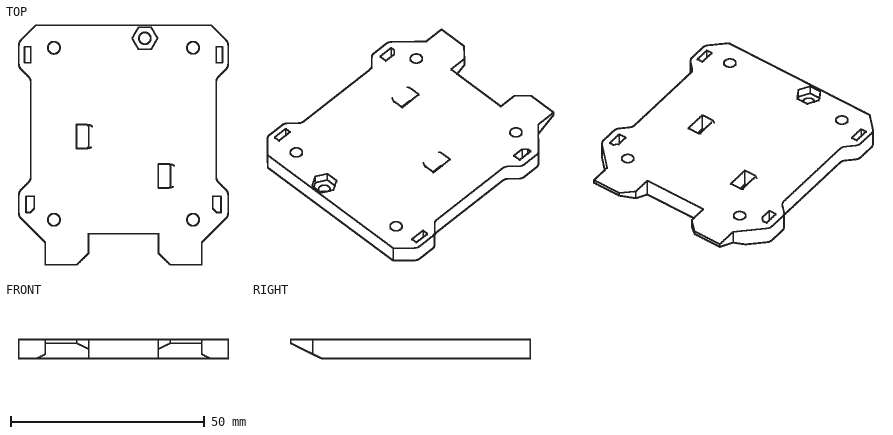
import cadquery as cq
import math

PLATE_THICKNESS = 5.0
PLATE_LENGTH = 54.0
OVERALL_WIDTH = 54.23
WAIST_WIDTH = 48.0
LUG_ROUNDING = 2.0

FRONT_LUG_START = 4.57
FRONT_LUG_END = 10.83
REAR_LUG_START = 43.15
REAR_LUG_END = 49.57

FOOT_LENGTH = 8.03
FOOT_OUTER_X = 20.25
FOOT_INNER_X = 9.0
FOOT_TIP_THICKNESS = 1.0
FOOT_CHAMFER_X = 3.1
FOOT_CHAMFER_Y = 3.0

MOUNT_HOLE_DIAMETER = 3.1
MOUNT_HOLE_X = 18.0
MOUNT_HOLE_Y = (3.65, 48.15)

SCREW_DIAMETER = 3.0
NUT_ACROSS_FLATS = 5.7
NUT_POCKET_DEPTH = 2.5
NUT_X = 5.52
NUT_Y = 50.6

SLOT_LENGTH = 4.1
REAR_SLOT_WIDTH = 1.6
REAR_SLOT_X = 24.8
REAR_SLOT_Y = 46.35
FRONT_SLOT_WIDTH = 2.1
FRONT_SLOT_X = 24.15
FRONT_SLOT_Y = 7.63
FRONT_SLOT_CHAMFER = 1.0

OPENING_WIDTH = 3.1
OPENING_LENGTH = 6.15
OPENING_EDGE_RADIUS = 1.0
OPENING_CORNER_RADIUS = 0.5
OPENING_CENTERS = ((-10.6, 25.17), (10.6, 15.0))

CLEARANCE = 1.0


def mirrored_outline(right_side):
    """Close an outline from its right half, listed from front to rear."""
    left_side = [(-x, y) for x, y in reversed(right_side)]
    return right_side + left_side


def make_plate():
    half_width = OVERALL_WIDTH / 2
    half_waist = WAIST_WIDTH / 2
    lug_step = half_width - half_waist
    waist_start = FRONT_LUG_END + lug_step
    waist_end = REAR_LUG_START - lug_step
    rear_corner_x = half_width - (PLATE_LENGTH - REAR_LUG_END)
    foot_shoulder_y = FRONT_LUG_START - (half_width - FOOT_OUTER_X)
    lug_corners = [
        (half_width, FRONT_LUG_START),
        (half_width, FRONT_LUG_END),
        (half_waist, waist_start),
        (half_waist, waist_end),
        (half_width, REAR_LUG_START),
        (half_width, REAR_LUG_END),
    ]
    right_side = [
        (FOOT_INNER_X, 0),
        (FOOT_INNER_X, FOOT_CHAMFER_Y - FOOT_LENGTH),
        (FOOT_INNER_X + FOOT_CHAMFER_X, -FOOT_LENGTH),
        (FOOT_OUTER_X, -FOOT_LENGTH),
        (FOOT_OUTER_X, foot_shoulder_y),
        *lug_corners,
        (rear_corner_x, PLATE_LENGTH),
    ]
    plate = cq.Workplane("XY").polyline(mirrored_outline(right_side)).close().extrude(PLATE_THICKNESS)
    for x, y in lug_corners:
        for side in (-1, 1):
            corner = cq.selectors.NearestToPointSelector((side * x, y, PLATE_THICKNESS / 2))
            plate = plate.edges("|Z").edges(corner).fillet(LUG_ROUNDING)
    return plate


def foot_taper():
    """Wedge below the feet, leaving them thin at the tip."""
    taper_height = PLATE_THICKNESS - FOOT_TIP_THICKNESS
    profile = [(0, 0), (-FOOT_LENGTH, taper_height), (-FOOT_LENGTH, 0)]
    return cq.Workplane("YZ").polyline(profile).close().extrude(OVERALL_WIDTH / 2, both=True)


def mount_holes():
    centers = [(side * MOUNT_HOLE_X, y) for side in (-1, 1) for y in MOUNT_HOLE_Y]
    return cq.Workplane("XY").pushPoints(centers).circle(MOUNT_HOLE_DIAMETER / 2).extrude(PLATE_THICKNESS)


def nut_pocket():
    across_corners = NUT_ACROSS_FLATS / math.cos(math.pi / 6)
    screw = cq.Workplane("XY").center(NUT_X, NUT_Y).circle(SCREW_DIAMETER / 2).extrude(PLATE_THICKNESS)
    pocket = (
        cq.Workplane("XY", origin=(NUT_X, NUT_Y, PLATE_THICKNESS - NUT_POCKET_DEPTH))
        .polygon(6, across_corners)
        .extrude(NUT_POCKET_DEPTH)
    )
    return screw.union(pocket)


def rear_slots():
    centers = [(side * REAR_SLOT_X, REAR_SLOT_Y) for side in (-1, 1)]
    return cq.Workplane("XY").pushPoints(centers).rect(REAR_SLOT_WIDTH, SLOT_LENGTH).extrude(PLATE_THICKNESS)


def front_slots():
    """Slots whose inner front corner is chamfered."""
    right_slot = (
        cq.Workplane("XY")
        .center(FRONT_SLOT_X, FRONT_SLOT_Y)
        .rect(FRONT_SLOT_WIDTH, SLOT_LENGTH)
        .extrude(PLATE_THICKNESS)
        .edges("|Z and <X and <Y")
        .chamfer(FRONT_SLOT_CHAMFER)
    )
    return right_slot.union(right_slot.mirror("YZ"))


def cable_opening(center_x, center_y):
    """Through opening; its +X wall rolls over into the top face, and its +X corners are rounded."""
    wall_x = OPENING_WIDTH / 2
    half_length = OPENING_LENGTH / 2
    radius = OPENING_EDGE_RADIUS
    arc_start_z = PLATE_THICKNESS - radius
    rim_x = wall_x + radius
    arc_middle = (rim_x - radius * math.cos(math.pi / 4), arc_start_z + radius * math.sin(math.pi / 4))
    body = (
        cq.Workplane("XZ")
        .moveTo(-wall_x, -CLEARANCE)
        .lineTo(wall_x, -CLEARANCE)
        .lineTo(wall_x, arc_start_z)
        .threePointArc(arc_middle, (rim_x, PLATE_THICKNESS))
        .lineTo(rim_x + CLEARANCE, PLATE_THICKNESS)
        .lineTo(rim_x + CLEARANCE, PLATE_THICKNESS + CLEARANCE)
        .lineTo(-wall_x, PLATE_THICKNESS + CLEARANCE)
        .close()
        .extrude(half_length, both=True)
    )
    for side in (-1, 1):
        corner = cq.selectors.NearestToPointSelector((wall_x, side * half_length, arc_start_z / 2))
        body = body.edges("|Z").edges(corner).fillet(OPENING_CORNER_RADIUS)
    return body.translate((center_x, center_y, 0))


result = make_plate().cut(foot_taper())
for cutter in (mount_holes(), nut_pocket(), rear_slots(), front_slots()):
    result = result.cut(cutter)
for opening_x, opening_y in OPENING_CENTERS:
    result = result.cut(cable_opening(opening_x, opening_y))